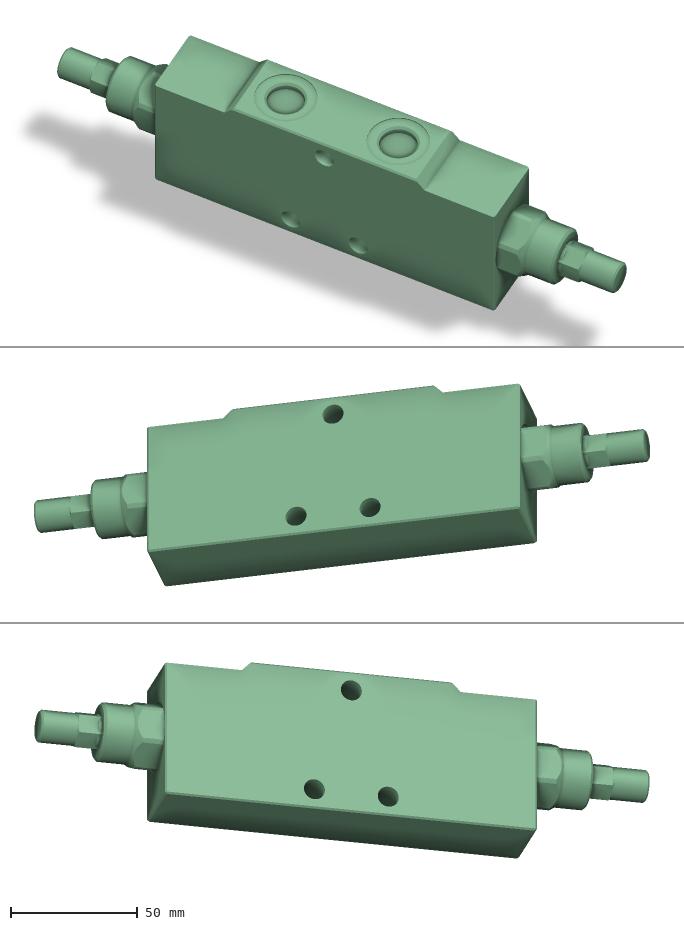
import cadquery as cq
import math

BLOCK_LENGTH = 151.0
BLOCK_THICKNESS = 30.0
SHOULDER_HEIGHT = 56.0
BLOCK_HEIGHT = 60.0
PAD_HALF_LENGTH = 40.5
EDGE_CHAMFER = 0.7

MOUNT_HOLE_DIAMETER = 8.5
UPPER_HOLE_HEIGHT = 52.0
LOWER_HOLE_HEIGHT = 8.0
LOWER_HOLE_OFFSET = 15.0
MOUNT_HOLES = [
    (0.0, UPPER_HOLE_HEIGHT),
    (-LOWER_HOLE_OFFSET, LOWER_HOLE_HEIGHT),
    (LOWER_HOLE_OFFSET, LOWER_HOLE_HEIGHT),
]

PORT_OFFSET = 25.0
PORT_DIAMETER = 15.2
PORT_MOUTH_DIAMETER = 17.0
PORT_DEPTH = 3.5
SPOTFACE_DIAMETER = 25.0
SPOTFACE_DEPTH = 0.5

CARTRIDGE_HEIGHT = BLOCK_HEIGHT / 2
LARGE_HEX_FLATS = 25.0
LARGE_HEX_DIAMETER = 27.8
LARGE_HEX_CONE_LENGTH = 3.0
LARGE_HEX_END = 11.6
BODY_DIAMETER = 23.6
BODY_END = 23.8
BODY_CHAMFER = 1.0
COLLAR_DIAMETER = 14.0
COLLAR_END = 25.2
SMALL_HEX_FLATS = 13.0
SMALL_HEX_END = 33.3
SMALL_HEX_CONE_LENGTH = 0.6
STEM_DIAMETER = 13.0
STEM_END = 48.0
STEM_CHAMFER = 0.8
SEAT_DIAMETER = 28.0
SEAT_DEPTH = 0.5
ANCHOR_DEPTH = 1.0


def make_block():
    pad_rise = BLOCK_HEIGHT - SHOULDER_HEIGHT
    half_length = BLOCK_LENGTH / 2
    pad_foot = PAD_HALF_LENGTH + pad_rise
    outline = [
        (-half_length, 0),
        (half_length, 0),
        (half_length, SHOULDER_HEIGHT),
        (pad_foot, SHOULDER_HEIGHT),
        (PAD_HALF_LENGTH, BLOCK_HEIGHT),
        (-PAD_HALF_LENGTH, BLOCK_HEIGHT),
        (-pad_foot, SHOULDER_HEIGHT),
        (-half_length, SHOULDER_HEIGHT),
    ]
    block = cq.Workplane("XZ").polyline(outline).close().extrude(BLOCK_THICKNESS / 2, both=True)
    block = block.edges("(<X or >X) and |Z").chamfer(EDGE_CHAMFER)
    block = block.faces("<Z").edges().chamfer(EDGE_CHAMFER)
    return block.faces(">Z").edges("|X").chamfer(EDGE_CHAMFER)


def make_mount_holes():
    return (
        cq.Workplane("XZ")
        .pushPoints(MOUNT_HOLES)
        .circle(MOUNT_HOLE_DIAMETER / 2)
        .extrude(BLOCK_THICKNESS, both=True)
    )


def make_port(x):
    """Blind port: shallow spotface, chamfered mouth and flat-bottomed bore."""
    bore_radius = PORT_DIAMETER / 2
    mouth_radius = PORT_MOUTH_DIAMETER / 2
    spotface_floor = BLOCK_HEIGHT - SPOTFACE_DEPTH
    mouth_depth = mouth_radius - bore_radius
    profile = [
        (0, BLOCK_HEIGHT),
        (SPOTFACE_DIAMETER / 2, BLOCK_HEIGHT),
        (SPOTFACE_DIAMETER / 2, spotface_floor),
        (mouth_radius, spotface_floor),
        (bore_radius, spotface_floor - mouth_depth),
        (bore_radius, BLOCK_HEIGHT - PORT_DEPTH),
        (0, BLOCK_HEIGHT - PORT_DEPTH),
    ]
    port = cq.Workplane("XZ").polyline(profile).close().revolve(360, (0, 0), (0, 1))
    return port.translate((x, 0, 0))


def make_hex(flats, start, end):
    """Hexagonal bar along +X with two corners pointing up and down."""
    corner_diameter = flats / math.cos(math.pi / 6)
    return (
        cq.Workplane("YZ", origin=(start, 0, 0))
        .transformed(rotate=(0, 0, 90))
        .polygon(6, corner_diameter)
        .extrude(end - start)
    )


def make_cone_ended_bar(outer_radius, end_radius, cone_length, end):
    """Round bar along +X that narrows to end_radius over its last cone_length."""
    profile = [
        (-ANCHOR_DEPTH, 0),
        (-ANCHOR_DEPTH, outer_radius),
        (end - cone_length, outer_radius),
        (end, end_radius),
        (end, 0),
    ]
    return cq.Workplane("XY").polyline(profile).close().revolve(360, (0, 0), (1, 0))


def make_chamfered_bar(diameter, chamfer, end):
    radius = diameter / 2
    return make_cone_ended_bar(radius, radius - chamfer, chamfer, end)


def make_cartridge():
    """Cartridge along +X, with the block's end face at X = 0."""
    body = make_chamfered_bar(BODY_DIAMETER, BODY_CHAMFER, BODY_END)
    stem = make_chamfered_bar(STEM_DIAMETER, STEM_CHAMFER, STEM_END)
    collar = cq.Workplane("YZ").circle(COLLAR_DIAMETER / 2).extrude(COLLAR_END)

    large_envelope = make_cone_ended_bar(
        LARGE_HEX_DIAMETER / 2, BODY_DIAMETER / 2, LARGE_HEX_CONE_LENGTH, LARGE_HEX_END
    )
    large_hex = make_hex(LARGE_HEX_FLATS, -ANCHOR_DEPTH, LARGE_HEX_END).intersect(large_envelope)

    small_envelope = make_cone_ended_bar(
        SMALL_HEX_FLATS / math.sqrt(3), STEM_DIAMETER / 2, SMALL_HEX_CONE_LENGTH, SMALL_HEX_END
    )
    small_hex = make_hex(SMALL_HEX_FLATS, BODY_END, SMALL_HEX_END).intersect(small_envelope)

    return large_hex.union(body).union(collar).union(small_hex).union(stem)


def make_seat():
    """Shallow round seat sunk into the end face at X = 0."""
    return cq.Workplane("YZ").circle(SEAT_DIAMETER / 2).extrude(-SEAT_DEPTH)


result = make_block().cut(make_mount_holes())
for port_x in (-PORT_OFFSET, PORT_OFFSET):
    result = result.cut(make_port(port_x))

right_end = (BLOCK_LENGTH / 2, 0, CARTRIDGE_HEIGHT)
right_seat = make_seat().translate(right_end)
right_cartridge = make_cartridge().translate(right_end)
result = result.cut(right_seat).cut(right_seat.mirror("YZ"))
result = result.union(right_cartridge).union(right_cartridge.mirror("YZ"))